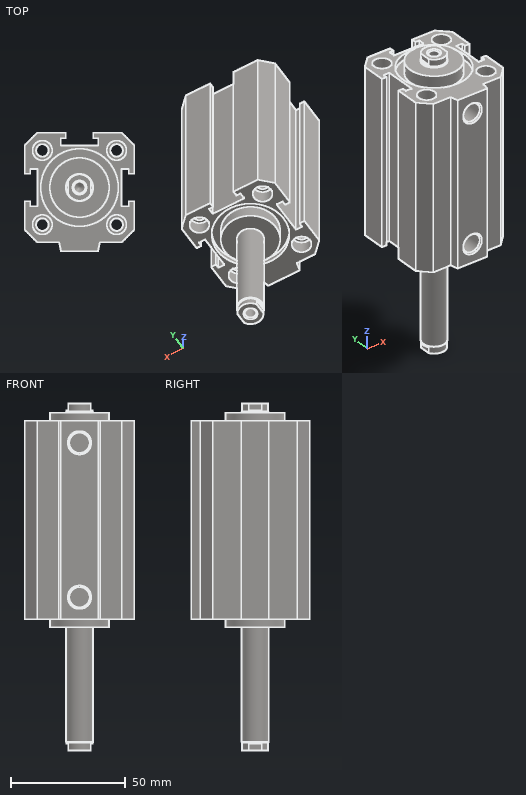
import cadquery as cq
import math

body_width = 48.0
body_height = 87.0
corner_chamfer = 5.5
half_width = body_width / 2

pad_height = 4.0
pad_base_width = 18.0
pad_face_width = 16.2
pad_face_y = -half_width - pad_height

slot_opening = 12.0
slot_inner_width = 16.2
slot_lip = 2.5
slot_depth = 5.6

mount_spacing = 32.5
mount_diameter = 5.4
mount_counterbore = 8.6
mount_counterbore_depth = 7.0

recess_diameter = 34.0
recess_depth = 3.0
collar_diameter = 26.0
collar_projection = 3.5

port_diameter = 8.9
port_chamfer = 0.7
port_depth = 10.0
port_end_distance = 9.7

rod_diameter = 12.0
rod_upper_projection = 4.0
rod_lower_projection = 54.0
rod_bottom = -collar_projection - rod_lower_projection
rod_top = body_height + collar_projection + rod_upper_projection

end_diameter = 11.5
end_length = 3.5
end_taper_length = 0.4
flat_width = 10.0
flat_length = 3.0
tap_diameter = 5.0
tap_chamfer = 0.6
tap_depth = 12.0
drill_tip_angle = 118.0


def cylinder(diameter, bottom, top):
    """Cylinder on the Z axis between two heights."""
    return cq.Workplane("XY", origin=(0, 0, bottom)).circle(diameter / 2).extrude(top - bottom)


def make_profile():
    """Chamfered square extrusion with the tapered port pad."""
    square = (
        cq.Workplane("XY")
        .rect(body_width, body_width)
        .extrude(body_height)
        .edges("|Z")
        .chamfer(corner_chamfer)
    )
    pad = (
        cq.Workplane("XY")
        .moveTo(-pad_base_width / 2, -half_width)
        .lineTo(-pad_face_width / 2, pad_face_y)
        .lineTo(pad_face_width / 2, pad_face_y)
        .lineTo(pad_base_width / 2, -half_width)
        .close()
        .extrude(body_height)
    )
    return square.union(pad)


def make_slot(angle):
    """T-slot cutter for the +X side, turned about Z by the given angle."""
    opening = cq.Workplane("XY").center(half_width - slot_depth / 2, 0).rect(slot_depth, slot_opening)
    inner_depth = slot_depth - slot_lip
    inner = (
        cq.Workplane("XY")
        .center(half_width - slot_depth + inner_depth / 2, 0)
        .rect(inner_depth, slot_inner_width)
    )
    slot = opening.extrude(body_height).union(inner.extrude(body_height))
    return slot.rotate((0, 0, 0), (0, 0, 1), angle)


def make_port(z):
    """Blind port with a chamfered mouth, bored into the pad face along +Y."""
    mouth_radius = port_diameter / 2 + port_chamfer
    return (
        cq.Workplane("XY")
        .lineTo(mouth_radius, 0)
        .lineTo(port_diameter / 2, port_chamfer)
        .lineTo(port_diameter / 2, port_depth)
        .lineTo(0, port_depth)
        .close()
        .revolve(360, (0, 0, 0), (0, 1, 0))
        .translate((0, pad_face_y, z))
    )


def make_housing():
    housing = make_profile()
    for angle in (0, 90, 180):
        housing = housing.cut(make_slot(angle))

    for face in (">Z", "<Z"):
        housing = (
            housing.faces(face)
            .workplane(origin=(0, 0, 0))
            .rect(mount_spacing, mount_spacing, forConstruction=True)
            .vertices()
            .cboreHole(mount_diameter, mount_counterbore, mount_counterbore_depth)
        )

    housing = housing.cut(cylinder(recess_diameter, 0, recess_depth))
    housing = housing.cut(cylinder(recess_diameter, body_height - recess_depth, body_height))
    housing = housing.union(cylinder(collar_diameter, -collar_projection, body_height + collar_projection))

    for z in (port_end_distance, body_height - port_end_distance):
        housing = housing.cut(make_port(z))
    return housing.cut(cylinder(rod_diameter, rod_bottom, rod_top))


def make_end_cutter():
    """Material removed at the upper rod end: tapered step, two flats and tapped hole."""
    step = (
        cq.Workplane("XZ")
        .moveTo(rod_diameter / 2, rod_top)
        .lineTo(end_diameter / 2, rod_top)
        .lineTo(end_diameter / 2, rod_top - end_length)
        .lineTo(rod_diameter / 2, rod_top - end_length - end_taper_length)
        .close()
        .revolve(360, (0, 0, 0), (0, 1, 0))
    )

    flat_depth = (rod_diameter - flat_width) / 2
    flat = cq.Workplane("XY").box(
        flat_depth, rod_diameter, flat_length, centered=(False, True, False)
    ).translate((flat_width / 2, 0, rod_top - flat_length))

    tap_radius = tap_diameter / 2
    tip_length = tap_radius / math.tan(math.radians(drill_tip_angle / 2))
    tapped_hole = (
        cq.Workplane("XZ")
        .moveTo(0, rod_top)
        .lineTo(tap_radius + tap_chamfer, rod_top)
        .lineTo(tap_radius, rod_top - tap_chamfer)
        .lineTo(tap_radius, rod_top - tap_depth)
        .lineTo(0, rod_top - tap_depth - tip_length)
        .close()
        .revolve(360, (0, 0, 0), (0, 1, 0))
    )
    return step.union(flat).union(flat.mirror("YZ")).union(tapped_hole)


def make_rod():
    upper_cutter = make_end_cutter()
    lower_cutter = upper_cutter.mirror("XY", (0, 0, (rod_bottom + rod_top) / 2))
    return cylinder(rod_diameter, rod_bottom, rod_top).cut(upper_cutter).cut(lower_cutter)


housing = make_housing()
rod = make_rod()
result = cq.Compound.makeCompound([housing.val(), rod.val()])